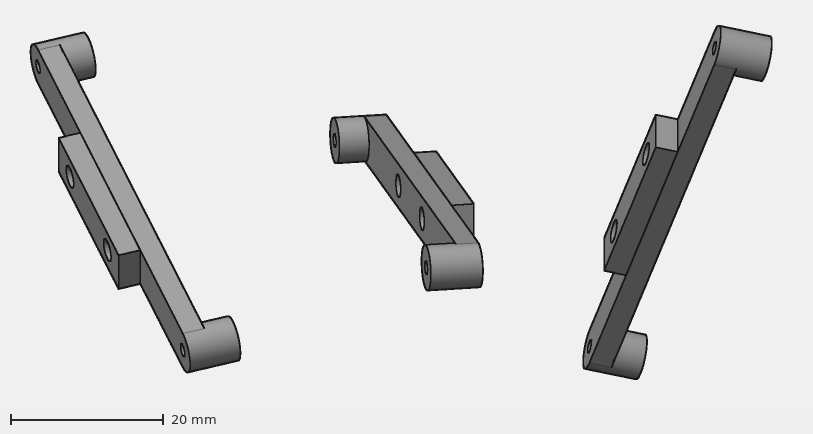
import cadquery as cq

length = 64.0
height = 6.0

bar_thickness = 3.0
boss_length = 7.0
end_hole_diameter = 1.7
boss_offset = (length - height) / 2

block_length = 24.0
block_thickness = 3.0
mount_hole_diameter = 3.0
mount_hole_spacing = 15.0

boss_centers = [(-boss_offset, 0), (boss_offset, 0)]
mount_centers = [(-mount_hole_spacing / 2, 0), (mount_hole_spacing / 2, 0)]


def cylinders(centers, diameter, start_y, end_y):
    """Cylinders along Y between two Y positions."""
    plane = cq.Workplane("XZ", origin=(0, start_y, 0))
    return plane.pushPoints(centers).circle(diameter / 2).extrude(start_y - end_y)


def make_arm():
    """Bar with two end bosses, drilled at the bosses and at the block."""
    bar = cq.Workplane("XY").box(2 * boss_offset, bar_thickness, height, centered=(True, False, True))
    bosses = cylinders(boss_centers, height, 0, boss_length)
    end_holes = cylinders(boss_centers, end_hole_diameter, 0, boss_length)
    mount_holes = cylinders(mount_centers, mount_hole_diameter, 0, bar_thickness)
    return bar.union(bosses).cut(end_holes).cut(mount_holes)


def make_block():
    """Rectangular block with two through holes in line with those of the bar."""
    block = cq.Workplane("XY", origin=(0, -block_thickness, 0)).box(
        block_length, block_thickness, height, centered=(True, False, True)
    )
    return block.cut(cylinders(mount_centers, mount_hole_diameter, -block_thickness, 0))


arm = make_arm()
block = make_block()
result = cq.Compound.makeCompound([arm.solids().val(), block.solids().val()])